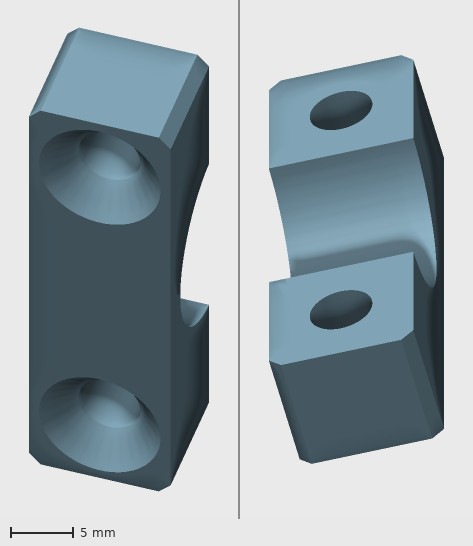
import cadquery as cq
import math

width = 12.0
depth = 10.0
height = 40.0
corner_chamfer = 1.0

hole_spacing = 28.0
hole_diameter = 5.2
countersink_diameter = 10.3
countersink_angle = 90.0

saddle_radius = 8.0
web_thickness = 2.5

front_y = -depth / 2


def make_block():
    """Block with its four front-profile corners chamfered along Y."""
    block = cq.Workplane("XY").box(width, depth, height)
    return block.edges("|Y").chamfer(corner_chamfer)


def make_saddle():
    """Cylinder along X that hollows out the back of the block."""
    center_y = front_y + web_thickness + saddle_radius
    return (
        cq.Workplane("YZ")
        .center(center_y, 0)
        .circle(saddle_radius)
        .extrude(width / 2, both=True)
    )


def make_screw_hole(center_z):
    """Through hole along Y with a conical countersink in the front face."""
    hole_radius = hole_diameter / 2
    sink_radius = countersink_diameter / 2
    sink_depth = (sink_radius - hole_radius) / math.tan(math.radians(countersink_angle / 2))
    profile = [
        (0, front_y),
        (sink_radius, front_y),
        (hole_radius, front_y + sink_depth),
        (hole_radius, depth / 2),
        (0, depth / 2),
    ]
    hole = cq.Workplane("XY").polyline(profile).close().revolve(360, (0, 0), (0, 1))
    return hole.translate((0, 0, center_z))


result = make_block().cut(make_saddle())
for side in (-1, 1):
    result = result.cut(make_screw_hole(side * hole_spacing / 2))